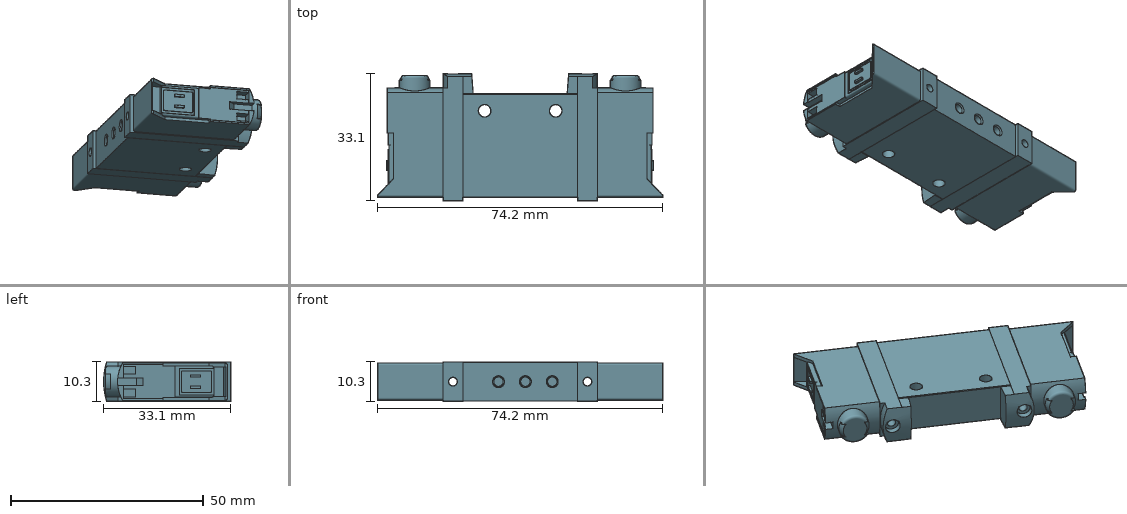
import cadquery as cq


overall_length = 74.22
overall_depth = 33.1
clamp_height = 10.25
joint_step = 0.1

clamp_outer_x = 20.08
clamp_inner_x = 14.92
clamp_edge_y = 32.3
clamp_hole_diameter = 2.2
clamp_seat_diameter = 3.9
clamp_seat_y = 31.25
clamp_notch_y = 29.4
clamp_notch_edge_x = 18.85

tab_height = clamp_height - joint_step
tab_base_x = 12.2
tab_tip_x = 12.6

valve_height = clamp_height - joint_step
front_y = 0.85
valve_rear_y = 27.85
valve_rear_chamfer = 0.2
port_diameter = 2.46
port_mouth_diameter = 3.1
port_depth = 6.0
port_pitch = 7.0
port_row_x = 1.36
mount_hole_diameter = 3.2
mount_hole_x = 9.25
mount_hole_y = 23.4

housing_height = 9.72
housing_end_x = 34.6
housing_edge_y = 28.15
housing_crown_y = 29.45
housing_fillet = 0.62
flare_tip_y = 1.45
flare_root_x = 33.0
flare_root_y = 5.72

skin_notch_y = 17.6
cover_rear_y = 27.95
cover_x = 34.35
cover_height = 8.8
core_height = 8.2

bay_rear_y = 14.5
bay_height = 7.7
bay_x = 34.15
core_fillet = 0.45
bay_front_y = 1.9
flare_lip_y = 1.2
socket_rear_y = 13.3
socket_front_y = 4.42
socket_height = 6.9
cavity_rear_y = 12.85
cavity_front_y = 4.98
cavity_height = 5.6
cavity_radius = 0.3
cavity_depth = 0.4
pin_rear_y = 10.45
pin_front_y = 7.9
pin_thickness = 0.6
pin_z = 1.45
pin_tip_x = 34.75

slot_width = 2.0
slot_depth = 2.0
slot_floor_front_y = 24.55
slot_front_y = slot_floor_front_y - slot_depth
window_rear_y = cover_rear_y
window_front_y = 24.8
window_height = 2.0
window_z = 2.93
window_depth = 3.0

button_diameter = 8.1
button_x = 27.45
button_top_y = 32.6
button_round = 0.7
button_root_y = 27.0
button_band_width = 3.9
button_bevel_height = 1.35
button_bevel_width = 0.9


def block(x_a, x_b, y_a, y_b, height, z_mid=0):
    """Box between two X and two Y positions, centred on z_mid."""
    size_x = abs(x_b - x_a)
    size_y = abs(y_b - y_a)
    centre = ((x_a + x_b) / 2, (y_a + y_b) / 2, z_mid)
    return cq.Workplane("XY").box(size_x, size_y, height).translate(centre)


def prism(points, height):
    """Closed XY outline extruded symmetrically about Z = 0."""
    return cq.Workplane("XY").polyline(points).close().extrude(height / 2, both=True)


def rod(diameter, x, y_start, y_end):
    """Cylinder along +Y on the mid-height plane."""
    plane = cq.Workplane("XZ", origin=(x, y_start, 0))
    return plane.circle(diameter / 2).extrude(y_start - y_end)


def crowned_envelope(height, y_min, edge_y, crown_y):
    """Full-length block whose rear (+Y) face bulges in an arc across Z."""
    half = height / 2
    return (
        cq.Workplane("YZ")
        .moveTo(y_min, -half)
        .lineTo(edge_y, -half)
        .threePointArc((crown_y, 0), (edge_y, half))
        .lineTo(y_min, half)
        .close()
        .extrude(overall_length / 2, both=True)
    )


def valve_body():
    """Central block with two mounting holes and a row of three ports with 45 degree mouths."""
    body = block(-clamp_inner_x, clamp_inner_x, front_y, valve_rear_y, valve_height)
    body = body.edges("|X and >Y").chamfer(valve_rear_chamfer)
    for x in (-mount_hole_x, mount_hole_x):
        hole = cq.Workplane("XY").circle(mount_hole_diameter / 2).extrude(clamp_height, both=True)
        body = body.cut(hole.translate((x, mount_hole_y, 0)))
    mouth_radius = port_mouth_diameter / 2
    for index in (-1, 0, 1):
        x = port_row_x + index * port_pitch
        body = body.cut(rod(port_diameter, x, front_y, front_y + port_depth))
        mouth = cq.Solid.makeCone(
            mouth_radius, 0, mouth_radius, pnt=cq.Vector(x, front_y, 0), dir=cq.Vector(0, 1, 0)
        )
        body = body.cut(cq.Workplane(obj=mouth))
    return body


def clamp():
    """Full-depth plate with a crowned rear end, bulged outer face there, hook tab and screw hole."""
    plate = block(-clamp_outer_x, -clamp_inner_x, 0, overall_depth, clamp_height)
    half = clamp_height / 2
    bulged_top = (
        cq.Workplane("XZ", origin=(0, clamp_notch_y, 0))
        .moveTo(-clamp_inner_x, -half)
        .lineTo(-clamp_notch_edge_x, -half)
        .threePointArc((-clamp_outer_x, 0), (-clamp_notch_edge_x, half))
        .lineTo(-clamp_inner_x, half)
        .close()
        .extrude(clamp_notch_y - overall_depth)
    )
    corner = block(-clamp_outer_x, -clamp_inner_x, clamp_notch_y, overall_depth, clamp_height)
    plate = plate.cut(corner).union(bulged_top)
    tab = prism(
        [
            (-clamp_inner_x, valve_rear_y),
            (-tab_base_x, valve_rear_y),
            (-tab_tip_x, overall_depth),
            (-clamp_inner_x, overall_depth),
        ],
        tab_height,
    )
    plate = plate.union(tab)
    plate = plate.intersect(crowned_envelope(clamp_height, 0, clamp_edge_y, overall_depth))
    hole_x = -(clamp_outer_x + clamp_inner_x) / 2
    plate = plate.cut(rod(clamp_hole_diameter, hole_x, 0, overall_depth))
    return plate.cut(rod(clamp_seat_diameter, hole_x, clamp_seat_y, overall_depth))


def housing_shell():
    """Solenoid housing with its flared front lip and notched skins."""
    shell = prism(
        [
            (-clamp_outer_x, front_y),
            (-overall_length / 2, front_y),
            (-overall_length / 2, flare_tip_y),
            (-flare_root_x, flare_root_y),
            (-flare_root_x, skin_notch_y),
            (-housing_end_x, skin_notch_y),
            (-housing_end_x, housing_crown_y),
            (-clamp_outer_x, housing_crown_y),
        ],
        housing_height,
    )
    shell = shell.intersect(crowned_envelope(housing_height, front_y, housing_edge_y, housing_crown_y))
    return shell.edges("|X and <Y").fillet(housing_fillet)


def cut_end_face(housing):
    """Inset cover, connector core, latch slot and windows in the end face."""
    housing = housing.cut(block(-housing_end_x, -cover_x, skin_notch_y, cover_rear_y, cover_height))
    housing = housing.union(block(-cover_x, -flare_root_x, bay_rear_y, skin_notch_y, core_height))
    core = block(-bay_x, -flare_root_x, socket_front_y, bay_rear_y, core_height)
    housing = housing.union(core.edges("|Y and <X").fillet(core_fillet))
    flare_pocket = prism(
        [
            (-flare_root_x, socket_front_y),
            (-flare_root_x, bay_front_y),
            (-overall_length / 2, flare_lip_y),
            (-overall_length / 2, socket_front_y),
        ],
        bay_height,
    )
    housing = housing.cut(flare_pocket)
    slot_floor_x = -housing_end_x + slot_depth
    slot = prism(
        [
            (-housing_end_x, slot_front_y),
            (slot_floor_x, slot_floor_front_y),
            (slot_floor_x, housing_crown_y),
            (-housing_end_x, housing_crown_y),
        ],
        slot_width,
    )
    housing = housing.cut(slot)
    window_floor_x = -cover_x + window_depth
    for z in (-window_z, window_z):
        window = block(-cover_x, window_floor_x, window_front_y, window_rear_y, window_height, z)
        housing = housing.cut(window)
    return housing


def socket():
    """Connector frame with a shallow cavity and two flat contact pins."""
    frame = block(-cover_x, -flare_root_x, socket_front_y, socket_rear_y, socket_height)
    floor_x = -cover_x + cavity_depth
    cavity = block(-cover_x, floor_x, cavity_front_y, cavity_rear_y, cavity_height)
    frame = frame.cut(cavity.edges("|X").fillet(cavity_radius))
    for z in (-pin_z, pin_z):
        frame = frame.union(block(-pin_tip_x, -flare_root_x, pin_front_y, pin_rear_y, pin_thickness, z))
    return frame


def button():
    """Round-rimmed knob with a wider bevel across its middle band on both X sides."""
    knob = rod(button_diameter, -button_x, button_root_y, button_top_y)
    rounded = knob.faces(">Y").edges().fillet(button_round)
    bevelled = knob.faces(">Y").edges().chamfer(button_bevel_height, button_bevel_width)
    radius = button_diameter / 2
    band = block(
        -button_x - radius, -button_x + radius, button_root_y, button_top_y, button_band_width
    )
    return rounded.cut(band).union(bevelled.intersect(band))


left_end = cut_end_face(housing_shell()).union(socket()).union(button()).union(clamp())
right_end = left_end.mirror("YZ")
result = valve_body().union(left_end).union(right_end)